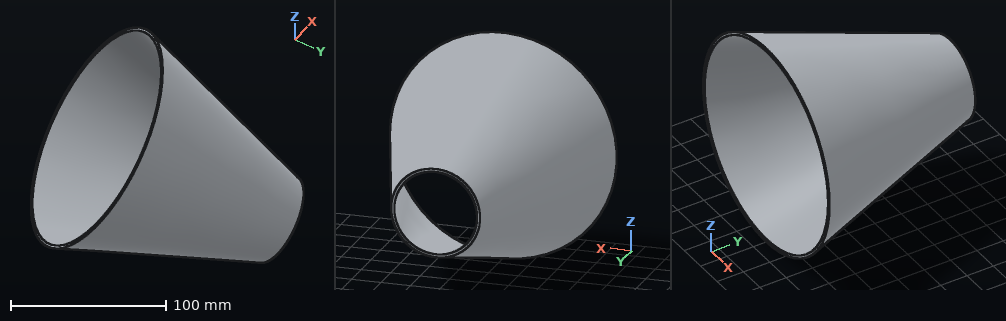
import cadquery as cq

large_diameter = 154.0
small_diameter = 60.4
length = 140.0
wall = 2.2

large_radius = large_diameter / 2
small_radius = small_diameter / 2
front_y = -length / 2
back_y = length / 2

wall_section = (
    cq.Workplane("XY")
    .moveTo(large_radius - wall, front_y)
    .lineTo(large_radius, front_y)
    .lineTo(small_radius, back_y)
    .lineTo(small_radius - wall, back_y)
    .close()
)

result = wall_section.revolve(360, (0, 0, 0), (0, 1, 0))